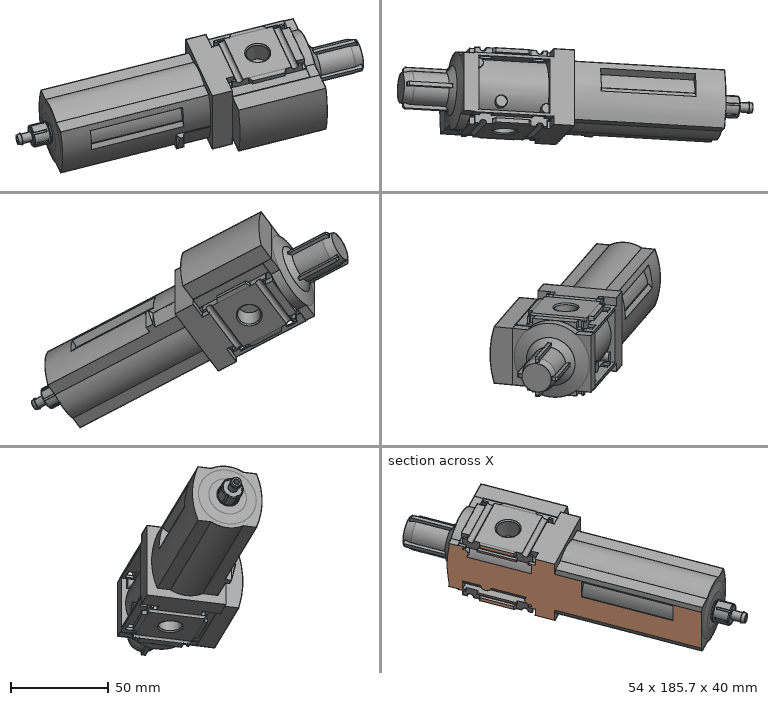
import cadquery as cq
import math


BARB_Y = 2.0
DRAIN_BOTTOM_Y = 7.5
DRAIN_TOP_Y = 16.0
COLLAR_TOP_Y = 16.5
BOWL_TIP_Y = 17.5
BOWL_BOTTOM_Y = 18.2
WINDOW_BOTTOM_Y = 34.0
WINDOW_TOP_Y = 84.1
FLANGE_BOTTOM_Y = 98.8
FLANGE_TOP_Y = 109.7
END_PLATE_BOTTOM_Y = 152.0
HOUSING_TOP_Y = 157.3
CONE_BASE_Y = 159.1
CONE_TIP_Y = 162.3
KNOB_BEVEL_Y = 180.9
KNOB_TOP_Y = 185.7

HALF_WIDTH = 21.0
HALF_HEIGHT = 20.0
SHELF_Z = 15.8
CORNER_Z = 15.5
PAD_HALF_WIDTH = 15.0

GROOVE_WIDTH = 3.5
GROOVE_DEPTH = 1.9
GROOVE_CENTRES_Y = (115.7, 145.8)
POCKET_WIDTH = 3.3
POCKET_LENGTH = 4.0
POCKET_FLOOR_Z = 16.3
POST_WIDTH = 1.1
POST_LENGTH = 2.0

EAR_REACH = 2.5
EAR_HALF_LENGTH = 10.2
EAR_BEVEL = 1.5
EAR_Z = 17.5
EAR_DROP = 0.4

PORT_Y = 130.7
PORT_DIAMETER = 12.0
PORT_MOUTH_DIAMETER = 13.4
PORT_BEVEL = 0.7
PORT_DEPTH = 11.1

RECESS_BOTTOM_Y = 111.8
RECESS_TOP_Y = 149.5
RECESS_HALF_HEIGHT = 14.3
CORE_RADIUS = 18.8
BOSS_FACE_X = -18.4
BOSSES = ((5.0, 149.0, 11.1), (6.1, 136.9, -8.5), (5.0, 113.0, -11.1))
SLOT_OUTER_X = -19.1
SHELF_SLOTS_Y = ((113.6, 120.0), (141.7, 148.0))

BOWL_FLAT_Z = 15.5
BOWL_CORNER_X = 15.6
BOWL_HALF_WIDTH = 18.5
BOWL_ROUND_RADIUS = 17.6
BOWL_TIP_RADIUS = 10.0

WINDOW_FLOOR_RADIUS = 16.3
WINDOW_OUTER_X = -20.5
WINDOW_LOWER_Z = -2.6
WINDOW_LEDGE_X = -16.7
WINDOW_LEDGE_Z = 1.9
WINDOW_CEILING_Z = 9.7
WINDOW_UPPER_Z = 14.7

LATCH_BOTTOM_Y = 80.0
LATCH_TOP_Z = -5.2
LUG_TOP_Y = 84.1
LUG_BEVEL = 1.3
ARM_LOW_X = 16.7
ARM_HIGH_X = 19.0
LUG_LOW_X = 19.0
LUG_HIGH_X = 21.5

DRAIN_RADIUS = 11.5 / 2
COLLAR_RADIUS = 12.0 / 2
NOZZLE_RADIUS = 5.0 / 2
BARB_RADIUS = 6.1 / 2
DRAIN_BORE_DIAMETER = 3.0
NECK_RADIUS = 5.2
DRAIN_BEVEL = 0.5
GRIP_SLOT_COUNT = 6
GRIP_SLOT_WIDTH = 1.1
GRIP_SLOT_DEPTH = 1.0
GRIP_SLOT_TOP_Y = 15.0

KNOB_RADIUS = 9.0
KNOB_TOP_RADIUS = 7.8
CONE_RADIUS = 13.0
RIB_RADIUS = 10.8
RIB_WIDTH = 2.0
RIB_COUNT = 4
RIB_TOP_Y = 184.5
RIB_BEVEL = 1.0

COVER_CORNER_X = 30.8
COVER_CROWN_X = 33.0


def block(x0, x1, y0, y1, z0, z1):
    return cq.Workplane("XY").box(x1 - x0, y1 - y0, z1 - z0, centered=False).translate((x0, y0, z0))


def along_y(outline, y0, y1):
    """Extrude the outline drawn on an XZ plane from y0 up to y1."""
    return outline.extrude(y0 - y1)


def profile_plane(y):
    """XZ plane at the given Y, whose extrusions with a negative length run towards +Y."""
    return cq.Workplane("XZ", origin=(0, y, 0))


def both_z(shape):
    return shape.union(shape.mirror("XY"))


def revolve_y(points):
    """Turn (radius, y) points about the main axis."""
    return cq.Workplane("XY").polyline(points).close().revolve(360, (0, 0, 0), (0, 1, 0))


def make_shell():
    """Flange, shelved middle with its pads, and end plate with a round disc."""
    flange = block(-HALF_WIDTH, HALF_WIDTH, FLANGE_BOTTOM_Y, FLANGE_TOP_Y, -HALF_HEIGHT, HALF_HEIGHT)
    middle = block(-HALF_WIDTH, HALF_WIDTH, FLANGE_TOP_Y, END_PLATE_BOTTOM_Y, -SHELF_Z, SHELF_Z)
    pads = block(-PAD_HALF_WIDTH, PAD_HALF_WIDTH, FLANGE_TOP_Y, END_PLATE_BOTTOM_Y, -HALF_HEIGHT, HALF_HEIGHT)
    plate = block(-HALF_WIDTH, HALF_WIDTH, END_PLATE_BOTTOM_Y, HOUSING_TOP_Y, -CORNER_Z, CORNER_Z)
    disc = along_y(profile_plane(END_PLATE_BOTTOM_Y).circle(HALF_HEIGHT), END_PLATE_BOTTOM_Y, HOUSING_TOP_Y)
    return flange.union(middle).union(pads).union(plate).union(disc)


def make_groove(y):
    """Round bar that cuts a groove across the pad."""
    radius = GROOVE_WIDTH / 2
    centre_z = HALF_HEIGHT - GROOVE_DEPTH + radius
    length = 2 * PAD_HALF_WIDTH
    return (
        cq.Workplane("YZ", origin=(-PAD_HALF_WIDTH, y, centre_z))
        .circle(radius).extrude(length)
    )


def make_corner_pocket(side, y0, post_y0):
    """Pocket in one corner of a pad, leaving a small post on its outer edge."""
    outer_x = side * PAD_HALF_WIDTH
    inner_x = side * (PAD_HALF_WIDTH - POCKET_WIDTH)
    post_x = side * (PAD_HALF_WIDTH - POST_WIDTH)
    pocket_x = sorted((outer_x, inner_x))
    post_sides_x = sorted((outer_x, post_x))
    pocket = block(*pocket_x, y0, y0 + POCKET_LENGTH, POCKET_FLOOR_Z, HALF_HEIGHT)
    post = block(*post_sides_x, post_y0, post_y0 + POST_LENGTH, POCKET_FLOOR_Z, HALF_HEIGHT)
    return pocket.cut(post)


def make_ear(side):
    """Trapezoid ledge beside a pad, falling slightly outwards."""
    root = side * PAD_HALF_WIDTH
    tip = side * (PAD_HALF_WIDTH + EAR_REACH)
    short = EAR_HALF_LENGTH - EAR_BEVEL
    outline = (
        cq.Workplane("XY", origin=(0, PORT_Y, EAR_Z))
        .polyline([(root, -EAR_HALF_LENGTH), (tip, -short), (tip, short), (root, EAR_HALF_LENGTH)])
        .close().extrude(HALF_HEIGHT - EAR_Z)
    )
    y0 = PORT_Y - EAR_HALF_LENGTH
    y1 = PORT_Y + EAR_HALF_LENGTH
    section = [(root, EAR_Z), (tip, EAR_Z), (tip, HALF_HEIGHT - EAR_DROP), (root, HALF_HEIGHT)]
    return outline.intersect(along_y(profile_plane(y0).polyline(section).close(), y0, y1))


def make_port():
    """Blind port with a bevelled mouth."""
    straight = (
        cq.Workplane("XY", origin=(0, PORT_Y, HALF_HEIGHT))
        .circle(PORT_DIAMETER / 2).extrude(-PORT_DEPTH)
    )
    mouth = (
        cq.Workplane("XY", origin=(0, PORT_Y, HALF_HEIGHT))
        .circle(PORT_MOUTH_DIAMETER / 2)
        .workplane(offset=-PORT_BEVEL).circle(PORT_DIAMETER / 2).loft()
    )
    return straight.union(mouth)


def make_side_recess():
    """Open recess on the -X side, around the round core and its screw bosses."""
    recess = block(-HALF_WIDTH, 0, RECESS_BOTTOM_Y, RECESS_TOP_Y, -RECESS_HALF_HEIGHT, RECESS_HALF_HEIGHT)
    core = along_y(profile_plane(RECESS_BOTTOM_Y).circle(CORE_RADIUS), RECESS_BOTTOM_Y, RECESS_TOP_Y)
    recess = recess.cut(core)
    for diameter, y, z in BOSSES:
        boss = cq.Workplane("YZ", origin=(BOSS_FACE_X, y, z)).circle(diameter / 2).extrude(-BOSS_FACE_X)
        recess = recess.cut(boss)
    return recess


def window_floor_x(z):
    """X of the window floor, which is round about the main axis."""
    return -math.sqrt(WINDOW_FLOOR_RADIUS ** 2 - z ** 2)


def make_window():
    """Shallow window in the -X side of the bowl, with a ledge along its lower edge."""
    middle_z = (WINDOW_LEDGE_Z + WINDOW_CEILING_Z) / 2
    outline = (
        profile_plane(WINDOW_BOTTOM_Y)
        .moveTo(WINDOW_OUTER_X, WINDOW_LOWER_Z)
        .lineTo(WINDOW_LEDGE_X, WINDOW_LEDGE_Z)
        .lineTo(window_floor_x(WINDOW_LEDGE_Z), WINDOW_LEDGE_Z)
        .threePointArc(
            (window_floor_x(middle_z), middle_z),
            (window_floor_x(WINDOW_CEILING_Z), WINDOW_CEILING_Z),
        )
        .lineTo(WINDOW_OUTER_X, WINDOW_UPPER_Z)
        .close()
    )
    return along_y(outline, WINDOW_BOTTOM_Y, WINDOW_TOP_Y)


def make_latch():
    """Slanted arm below the flange, with a bevelled lug at its free end."""
    arm = along_y(
        profile_plane(LATCH_BOTTOM_Y).polyline([
            (BOWL_CORNER_X, -BOWL_FLAT_Z), (ARM_LOW_X, -BOWL_FLAT_Z), (ARM_HIGH_X, LATCH_TOP_Z),
            (BOWL_CORNER_X, LATCH_TOP_Z),
        ]).close(),
        LATCH_BOTTOM_Y, FLANGE_BOTTOM_Y,
    )
    lug = along_y(
        profile_plane(LATCH_BOTTOM_Y).polyline([
            (ARM_LOW_X, -BOWL_FLAT_Z), (LUG_LOW_X, -BOWL_FLAT_Z), (LUG_HIGH_X, LATCH_TOP_Z),
            (ARM_HIGH_X, LATCH_TOP_Z),
        ]).close(),
        LATCH_BOTTOM_Y, LUG_TOP_Y,
    )
    bevelled = (
        cq.Workplane("XY", origin=(0, 0, -BOWL_FLAT_Z))
        .polyline([
            (BOWL_CORNER_X, LATCH_BOTTOM_Y), (ARM_HIGH_X, LATCH_BOTTOM_Y),
            (LUG_HIGH_X, LATCH_BOTTOM_Y + LUG_BEVEL), (LUG_HIGH_X, LUG_TOP_Y - LUG_BEVEL),
            (ARM_HIGH_X, LUG_TOP_Y), (BOWL_CORNER_X, LUG_TOP_Y),
        ])
        .close().extrude(BOWL_FLAT_Z)
    )
    return arm.union(lug.intersect(bevelled))


def make_bowl():
    """Bowl with two curved sides, a round bulge above and below, and a conical end."""
    outline = (
        profile_plane(BOWL_BOTTOM_Y)
        .moveTo(-BOWL_CORNER_X, -BOWL_FLAT_Z)
        .lineTo(BOWL_CORNER_X, -BOWL_FLAT_Z)
        .threePointArc((BOWL_HALF_WIDTH, 0), (BOWL_CORNER_X, BOWL_FLAT_Z))
        .lineTo(-BOWL_CORNER_X, BOWL_FLAT_Z)
        .threePointArc((-BOWL_HALF_WIDTH, 0), (-BOWL_CORNER_X, -BOWL_FLAT_Z))
        .close()
    )
    bowl = along_y(outline, BOWL_BOTTOM_Y, FLANGE_BOTTOM_Y)
    barrel = along_y(profile_plane(BOWL_BOTTOM_Y).circle(BOWL_ROUND_RADIUS), BOWL_BOTTOM_Y, FLANGE_BOTTOM_Y)
    tip = revolve_y([
        (0, BOWL_BOTTOM_Y), (BOWL_FLAT_Z, BOWL_BOTTOM_Y), (BOWL_TIP_RADIUS, BOWL_TIP_Y), (0, BOWL_TIP_Y),
    ])
    window = make_window()
    bowl = bowl.union(barrel).union(tip)
    return bowl.cut(window).cut(window.mirror("YZ")).union(make_latch())


def make_knob():
    """Adjusting knob on its cone, with straight grip ribs."""
    knob = revolve_y([
        (0, HOUSING_TOP_Y), (HALF_HEIGHT, HOUSING_TOP_Y), (CONE_RADIUS, CONE_BASE_Y),
        (KNOB_RADIUS, CONE_TIP_Y), (KNOB_RADIUS, KNOB_BEVEL_Y), (KNOB_TOP_RADIUS, KNOB_TOP_Y),
        (0, KNOB_TOP_Y),
    ])
    rib = (
        cq.Workplane("XY", origin=(0, 0, -RIB_WIDTH / 2))
        .polyline([
            (0, HOUSING_TOP_Y), (RIB_RADIUS, HOUSING_TOP_Y), (RIB_RADIUS, RIB_TOP_Y - RIB_BEVEL),
            (RIB_RADIUS - RIB_BEVEL, RIB_TOP_Y), (0, RIB_TOP_Y),
        ])
        .close().extrude(RIB_WIDTH)
    )
    for index in range(RIB_COUNT):
        knob = knob.union(rib.rotate((0, 0, 0), (0, 1, 0), index * 360 / RIB_COUNT))
    return knob


def make_drain():
    """Drain screw with a collar, grip slots and a bored, barbed nozzle."""
    drain = revolve_y([
        (0, BOWL_TIP_Y), (NECK_RADIUS, BOWL_TIP_Y), (NECK_RADIUS, COLLAR_TOP_Y),
        (COLLAR_RADIUS, COLLAR_TOP_Y), (COLLAR_RADIUS, DRAIN_TOP_Y), (DRAIN_RADIUS, DRAIN_TOP_Y),
        (DRAIN_RADIUS, DRAIN_BOTTOM_Y + DRAIN_BEVEL), (DRAIN_RADIUS - DRAIN_BEVEL, DRAIN_BOTTOM_Y),
        (NOZZLE_RADIUS, DRAIN_BOTTOM_Y), (NOZZLE_RADIUS, BARB_Y), (BARB_RADIUS, BARB_Y),
        (NOZZLE_RADIUS, 0), (0, 0),
    ])
    grip_slot = block(
        DRAIN_RADIUS - GRIP_SLOT_DEPTH, COLLAR_RADIUS, DRAIN_BOTTOM_Y, GRIP_SLOT_TOP_Y,
        -GRIP_SLOT_WIDTH / 2, GRIP_SLOT_WIDTH / 2,
    )
    for index in range(GRIP_SLOT_COUNT):
        drain = drain.cut(grip_slot.rotate((0, 0, 0), (0, 1, 0), index * 360 / GRIP_SLOT_COUNT))
    return drain.cut(along_y(profile_plane(0).circle(DRAIN_BORE_DIAMETER / 2), 0, DRAIN_BOTTOM_Y))


def make_housing():
    housing = make_shell()
    for y in GROOVE_CENTRES_Y:
        housing = housing.cut(both_z(make_groove(y)))
    for side in (-1, 1):
        housing = housing.cut(both_z(make_corner_pocket(side, FLANGE_TOP_Y, FLANGE_TOP_Y + POST_LENGTH)))
        upper = END_PLATE_BOTTOM_Y - POCKET_LENGTH
        housing = housing.cut(both_z(make_corner_pocket(side, upper, upper)))
        housing = housing.union(both_z(make_ear(side)))
    housing = housing.cut(both_z(make_port())).cut(make_side_recess())
    for y0, y1 in SHELF_SLOTS_Y:
        slot = block(SLOT_OUTER_X, -PAD_HALF_WIDTH, y0, y1, RECESS_HALF_HEIGHT, SHELF_Z)
        housing = housing.cut(both_z(slot))
    return housing.union(make_bowl()).union(make_knob()).union(make_drain())


def make_cover():
    """Cover on the +X side, with a crowned outer face."""
    outline = (
        profile_plane(FLANGE_TOP_Y)
        .moveTo(HALF_WIDTH, -CORNER_Z)
        .lineTo(COVER_CORNER_X, -CORNER_Z)
        .threePointArc((COVER_CROWN_X, 0), (COVER_CORNER_X, CORNER_Z))
        .lineTo(HALF_WIDTH, CORNER_Z)
        .close()
    )
    return along_y(outline, FLANGE_TOP_Y, HOUSING_TOP_Y)


housing = make_housing()
cover = make_cover()
result = cq.Compound.makeCompound([housing.val(), cover.val()])